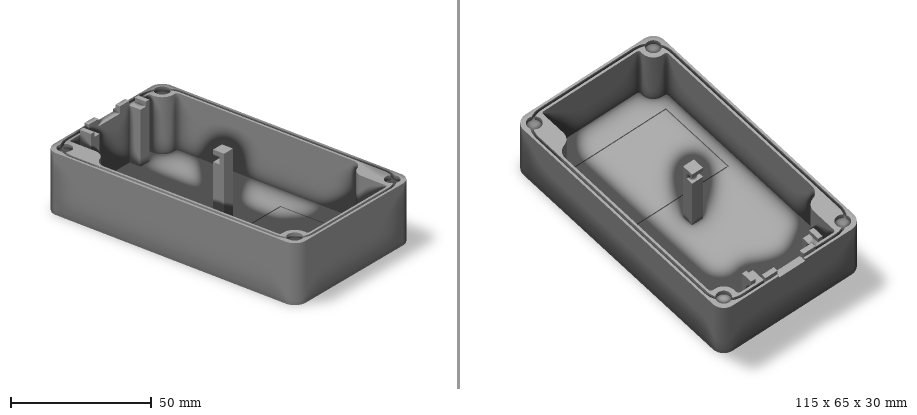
import cadquery as cq
import math

length = 115.0
width = 65.0
body_height = 25.0
corner_radius = 5.0
wall = 3.0
floor_thickness = 2.0
cavity_fillet = 1.0

boss_reach = 10.0
boss_radius = 5.0
long_boss_flat = 15.0
long_boss_bend_radius = 5.0
screw_hole_inset = 5.0
screw_hole_diameter = 6.0
screw_hole_depth = 2.0

groove_width = 1.1
groove_inset = (wall - groove_width) / 2
groove_depth = 2.0
groove_corner_radius = 10.0

notch_width = 12.0
notch_depth = 1.0
tab_height = 2.0
tab_width = 5.5

support_length = 5.0
support_inner_y = 11.5
support_step_y = 14.5
support_outer_y = 16.5

post_size = 5.0
post_height = 30.0
hook_thickness = 2.0
hook_slot_height = 3.0

panel_length = 35.0
panel_width = 45.0
panel_center_x = 25.0
panel_center_y = -2.5
panel_line_width = 0.5
panel_line_depth = 0.5

half_length = length / 2
half_width = width / 2
tab_end_y = notch_width / 2 + tab_width


def box(x_range, y_range, z_range):
    """Box between the given limits along each axis."""
    size_x = x_range[1] - x_range[0]
    size_y = y_range[1] - y_range[0]
    size_z = z_range[1] - z_range[0]
    corner = (x_range[0], y_range[0], z_range[0])
    return cq.Workplane("XY").box(size_x, size_y, size_z, centered=False).translate(corner)


def rounded_block(size_x, size_y, radius, bottom, top):
    """Upright block centred on Z with rounded vertical corners."""
    block = cq.Workplane("XY").workplane(offset=bottom).rect(size_x, size_y).extrude(top - bottom)
    return block.edges("|Z").fillet(radius)


def compact_boss():
    """Boss in the -X, +Y corner, rounded around its screw hole."""
    x_range = (-half_length, -half_length + boss_reach)
    y_range = (half_width - boss_reach, half_width)
    boss = box(x_range, y_range, (0, body_height))
    return boss.edges("|Z and >X and <Y").fillet(boss_radius)


def long_boss():
    """Boss in the -X, -Y corner that runs into the side wall with an S-bend."""
    radius = long_boss_bend_radius
    rise = boss_reach - wall
    bend_angle = math.acos(1 - rise / (2 * radius))
    half_run = radius * math.sin(bend_angle)
    half_sag = radius * (1 - math.cos(bend_angle / 2))
    half_chord = radius * math.sin(bend_angle / 2)

    flat_end_x = -half_length + long_boss_flat
    flat_y = -half_width + boss_reach
    wall_y = -half_width + wall
    wall_x = flat_end_x + 2 * half_run
    return (
        cq.Workplane("XY")
        .moveTo(-half_length, -half_width)
        .lineTo(-half_length, flat_y)
        .lineTo(flat_end_x, flat_y)
        .threePointArc(
            (flat_end_x + half_chord, flat_y - half_sag),
            (flat_end_x + half_run, flat_y - rise / 2),
        )
        .threePointArc((wall_x - half_chord, wall_y + half_sag), (wall_x, wall_y))
        .lineTo(wall_x, -half_width)
        .close()
        .extrude(body_height)
    )


def cavity():
    """Space inside the walls, leaving the four corner bosses standing."""
    inner_length = length - 2 * wall
    inner_width = width - 2 * wall
    space = (
        cq.Workplane("XY")
        .workplane(offset=floor_thickness)
        .rect(inner_length, inner_width)
        .extrude(body_height - floor_thickness)
    )
    for boss in (compact_boss(), long_boss()):
        opposite_boss = boss.rotate((0, 0, 0), (0, 0, 1), 180)
        space = space.cut(boss).cut(opposite_boss)
    inner_x = inner_length / 2
    inner_y = inner_width / 2
    boss_x = half_length - boss_reach
    boss_y = half_width - boss_reach
    corners = [(-boss_x, inner_y), (-inner_x, boss_y), (-inner_x, -boss_y)]
    corners += [(-x, -y) for x, y in corners]
    middle = (floor_thickness + body_height) / 2
    for x, y in corners:
        space = space.edges(cq.selectors.NearestToPointSelector((x, y, middle))).fillet(cavity_fillet)
    return space


def screw_holes():
    """Shallow blind hole in each corner boss."""
    return (
        cq.Workplane("XY")
        .workplane(offset=body_height - screw_hole_depth)
        .rect(length - 2 * screw_hole_inset, width - 2 * screw_hole_inset, forConstruction=True)
        .vertices()
        .circle(screw_hole_diameter / 2)
        .extrude(screw_hole_depth)
    )


def seal_groove():
    """Channel in the rim that opens into the screw holes and stops short of the cable notch."""
    bottom = body_height - groove_depth
    inner_inset = groove_inset + groove_width
    outer = rounded_block(
        length - 2 * groove_inset, width - 2 * groove_inset, groove_corner_radius, bottom, body_height
    )
    inner = rounded_block(
        length - 2 * inner_inset,
        width - 2 * inner_inset,
        groove_corner_radius - groove_width,
        bottom,
        body_height,
    )
    solid_rim = box(
        (-half_length, -half_length + wall),
        (-tab_end_y, tab_end_y),
        (bottom, body_height),
    )
    return outer.cut(inner).cut(solid_rim)


def panel_outline():
    """Thin rectangular channel in the floor."""
    bottom = floor_thickness - panel_line_depth
    return (
        cq.Workplane("XY")
        .workplane(offset=bottom)
        .center(panel_center_x, panel_center_y)
        .rect(panel_length, panel_width)
        .rect(panel_length - 2 * panel_line_width, panel_width - 2 * panel_line_width)
        .extrude(panel_line_depth)
    )


def cable_notch():
    """Shallow opening across the -X wall."""
    return box(
        (-half_length, -half_length + wall),
        (-notch_width / 2, notch_width / 2),
        (body_height - notch_depth, body_height),
    )


def notch_side():
    """Rim tab and stepped support on the +Y side of the cable notch."""
    wall_x = -half_length + wall
    tab_top = body_height + tab_height
    support_x = (wall_x, wall_x + support_length)
    tab = box(
        (-half_length + groove_inset, wall_x),
        (notch_width / 2, tab_end_y),
        (body_height, tab_top),
    )
    shelf = box(support_x, (support_inner_y, support_outer_y), (floor_thickness, body_height))
    rib = box(support_x, (support_step_y, support_outer_y), (body_height, tab_top))
    return tab.union(shelf).union(rib)


def hook_post():
    """Square post on the floor, notched from -X to leave a hook."""
    y_range = (-post_size / 2, post_size / 2)
    post = box((-post_size, 0), y_range, (floor_thickness, post_height))
    slot_top = post_height - hook_thickness
    slot = box((-post_size, -hook_thickness), y_range, (slot_top - hook_slot_height, slot_top))
    return post.cut(slot)


body = rounded_block(length, width, corner_radius, 0, body_height)
body = body.cut(cavity()).cut(screw_holes()).cut(seal_groove())
body = body.cut(panel_outline()).cut(cable_notch())

side_features = notch_side()
result = body.union(side_features).union(side_features.mirror("XZ")).union(hook_post())